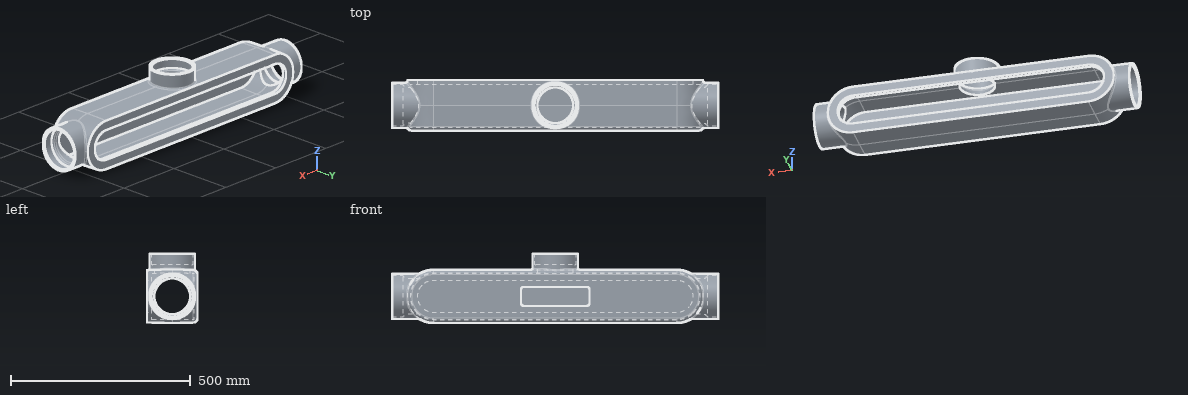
import cadquery as cq
import math

body_depth = 141.2875
body_height = 149.225
body_length = 825.5
draft_angle = 1.25
front_edge_radius = 12.7
wall = 9.525

flange_width = 30.0
flange_thickness = 12.7

hub_diameter = 127.0
socket_diameter = 114.58
bore_diameter = 99.42
overall_length = 908.05
top_hub_projection = 44.45
socket_depth = 30.2
rim_chamfer = 1.5
mouth_chamfer = 3.2
lip_slope = 45.0
lip_round_radius = 8.0
hub_root_radius = 4.0

panel_length = 190.5
panel_height = 52.4
panel_corner_radius = 7.0
panel_depth = 0.8

half_depth = body_depth / 2
hub_radius = hub_diameter / 2
socket_radius = socket_diameter / 2
bore_radius = bore_diameter / 2
end_reach = overall_length / 2
top_reach = body_height / 2 + top_hub_projection

left_hub = ((-1, 0, 0), end_reach)
right_hub = ((1, 0, 0), end_reach)
top_hub = ((0, 0, 1), top_reach)


def drafted_half(length, height, depth, side):
    """Round-ended block from the split plane at Y = 0 towards Y = side * depth."""
    split_plane = cq.Plane(origin=(0, 0, 0), xDir=(1, 0, 0), normal=(0, side, 0))
    return cq.Workplane(split_plane).slot2D(length, height).extrude(depth, taper=draft_angle)


def make_body():
    front = drafted_half(body_length, body_height, half_depth, -1)
    front = front.faces("<Y").edges().fillet(front_edge_radius)
    back = drafted_half(body_length, body_height, half_depth, 1)
    return front.union(back)


def make_cavity():
    """Inside of the body, with the narrower cover opening through the back flange."""
    length = body_length - 2 * wall
    height = body_height - 2 * wall
    front = drafted_half(length, height, half_depth - wall, -1)
    back = drafted_half(length, height, half_depth - flange_thickness, 1)
    opening = (
        cq.Workplane("XZ")
        .slot2D(body_length - 2 * flange_width, body_height - 2 * flange_width)
        .extrude(-half_depth)
    )
    return front.union(back).union(opening)


def revolved_along(profile, axis):
    """Revolve a YZ profile, drawn as (radius, distance), and lay its Z axis along the given axis."""
    upright = profile.close().revolve(360, (0, 0, 0), (0, 1, 0))
    if axis[0] == 0:
        return upright
    return upright.rotate((0, 0, 0), (0, 1, 0), axis[0] * 90)


def hub_cylinder(axis, reach):
    """Solid hub from the centre of the body to its mouth, with the outer rim chamfered."""
    profile = (
        cq.Workplane("YZ")
        .lineTo(hub_radius, 0)
        .lineTo(hub_radius, reach - rim_chamfer)
        .lineTo(hub_radius - rim_chamfer, reach)
        .lineTo(0, reach)
    )
    return revolved_along(profile, axis)


def hub_bore(axis, reach):
    """Hub opening: chamfered mouth, socket, then a sloping lip rounded into the bore."""
    lip_start = reach - socket_depth
    slope = math.radians(lip_slope)
    round_height = lip_round_radius * math.cos(slope)
    round_width = lip_round_radius * (1 - math.sin(slope))
    round_start_radius = bore_radius + round_width
    round_start = lip_start - (socket_radius - round_start_radius) * math.tan(slope)
    profile = (
        cq.Workplane("YZ")
        .lineTo(bore_radius, 0)
        .lineTo(bore_radius, round_start - round_height)
        .radiusArc((round_start_radius, round_start), lip_round_radius)
        .lineTo(socket_radius, lip_start)
        .lineTo(socket_radius, reach - mouth_chamfer)
        .lineTo(socket_radius + mouth_chamfer, reach)
        .lineTo(0, reach)
    )
    return revolved_along(profile, axis)


def is_hub_seam(edge):
    """True for the curved edges between a hub and the outside of the body."""
    return edge.geomType() in ("BSPLINE", "ELLIPSE")


def add_end_hubs(body):
    """Add one end hub with its root fillet, then mirror that half of the part to the other end."""
    one_end = body.union(hub_cylinder(*left_hub)).edges().filter(is_hub_seam).fillet(hub_root_radius)
    left_space = cq.Workplane("YZ").rect(2 * body_depth, 2 * body_height).extrude(-2 * end_reach)
    left_half = one_end.intersect(left_space)
    return left_half.union(left_half.mirror("YZ"))


def add_top_hub(body):
    body = body.union(hub_cylinder(*top_hub))
    around_top_hub = cq.selectors.BoxSelector(
        (-hub_diameter, -body_depth, hub_radius),
        (hub_diameter, body_depth, body_height),
    )
    return body.edges(around_top_hub).filter(is_hub_seam).fillet(hub_root_radius)


def cut_panel(body):
    panel = (
        cq.Workplane("XZ", origin=(0, -half_depth, 0))
        .rect(panel_length, panel_height)
        .extrude(-panel_depth)
        .edges("|Y")
        .fillet(panel_corner_radius)
    )
    return body.cut(panel)


def cut_bores(body):
    for axis, reach in (left_hub, right_hub, top_hub):
        body = body.cut(hub_bore(axis, reach))
    return body


housing = add_top_hub(add_end_hubs(make_body()))
hollow = housing.cut(make_cavity())
result = cut_panel(cut_bores(hollow))